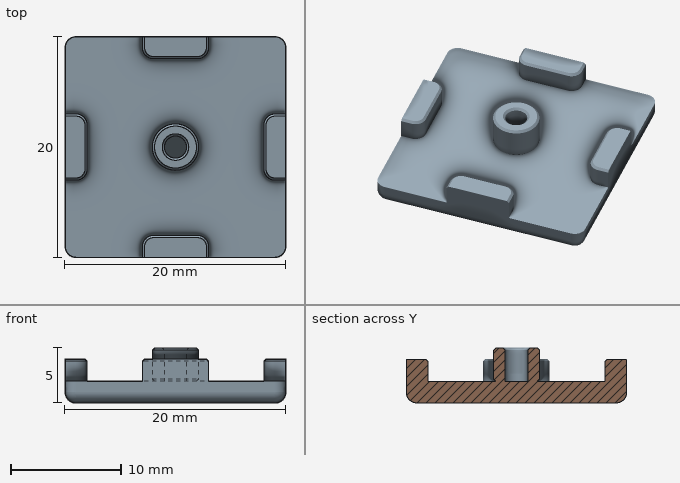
import cadquery as cq

plate_side = 20.0
plate_thickness = 2.0
plate_rounding = 1.0

tab_width = 6.0
tab_depth = 2.0
tab_top = 4.0
tab_corner_radius = 1.0
tab_count = 4

boss_diameter = 4.2
boss_top = 5.0
hole_diameter = 2.0
hole_depth = boss_top - plate_thickness

edge_chamfer = 0.2


def make_plate():
    """Square plate with rounded corners and a rounded bottom edge."""
    plate = cq.Workplane("XY").box(
        plate_side, plate_side, plate_thickness, centered=(True, True, False)
    )
    return plate.edges("|Z").fillet(plate_rounding).faces("<Z").edges().fillet(plate_rounding)


def make_tab():
    """Tab on the -Y side: rounded inner corners, chamfered top except at the outer wall."""
    height = tab_top - plate_thickness
    center_y = (tab_depth - plate_side) / 2
    tab = (
        cq.Workplane("XY", origin=(0, center_y, plate_thickness))
        .box(tab_width, tab_depth, height, centered=(True, True, False))
        .edges("|Z and >Y")
        .fillet(tab_corner_radius)
    )
    return tab.faces(">Z").edges("not(<Y)").chamfer(edge_chamfer)


def make_boss():
    """Round boss chamfered at its rim and at its foot."""
    return (
        cq.Workplane("XY", origin=(0, 0, plate_thickness))
        .circle(boss_diameter / 2)
        .extrude(boss_top - plate_thickness)
        .faces("<Z or >Z")
        .chamfer(edge_chamfer)
    )


def make_hole():
    """Blind hole with a countersunk mouth, as a cutting body."""
    hole = (
        cq.Workplane("XY", origin=(0, 0, boss_top - hole_depth))
        .circle(hole_diameter / 2)
        .extrude(hole_depth)
    )
    mouth = cq.Solid.makeCone(
        hole_diameter / 2,
        hole_diameter / 2 + edge_chamfer,
        edge_chamfer,
        pnt=cq.Vector(0, 0, boss_top - edge_chamfer),
    )
    return hole.union(cq.Workplane(mouth))


result = make_plate().union(make_boss())
for index in range(tab_count):
    angle = index * 360 / tab_count
    result = result.union(make_tab().rotate((0, 0, 0), (0, 0, 1), angle))
result = result.cut(make_hole())